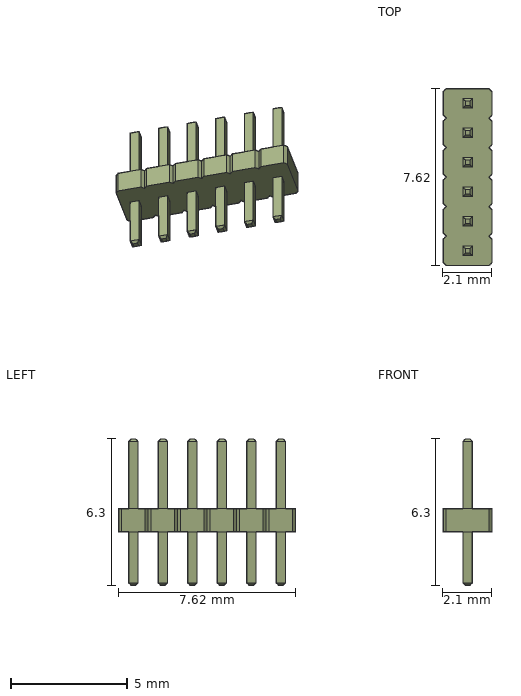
import cadquery as cq

pin_count = 6
pitch = 1.27
pin_width = 0.4
pin_length_above = 3.0
pin_length_below = 2.3
pin_tip_chamfer = 0.1

body_width = 2.1
body_height = 1.0
corner_chamfer = pitch / 10
body_length = pin_count * pitch


def make_body_segment(y_center):
    """One pitch of the body; its chamfered corners form V-notches with its neighbours."""
    return (
        cq.Workplane("XY")
        .center(0, y_center)
        .rect(body_width, pitch)
        .extrude(body_height)
        .edges("|Z")
        .chamfer(corner_chamfer)
    )


def make_pin(y_center):
    """Square pin through the body, tapered at both tips."""
    return (
        cq.Workplane("XY", origin=(0, y_center, -pin_length_below))
        .rect(pin_width, pin_width)
        .extrude(pin_length_below + body_height + pin_length_above)
        .faces("<Z or >Z")
        .chamfer(pin_tip_chamfer)
    )


result = cq.Workplane("XY")
for index in range(pin_count):
    pin_y = (index + 0.5) * pitch - body_length / 2
    result = result.union(make_body_segment(pin_y)).union(make_pin(pin_y))
result = result.clean()